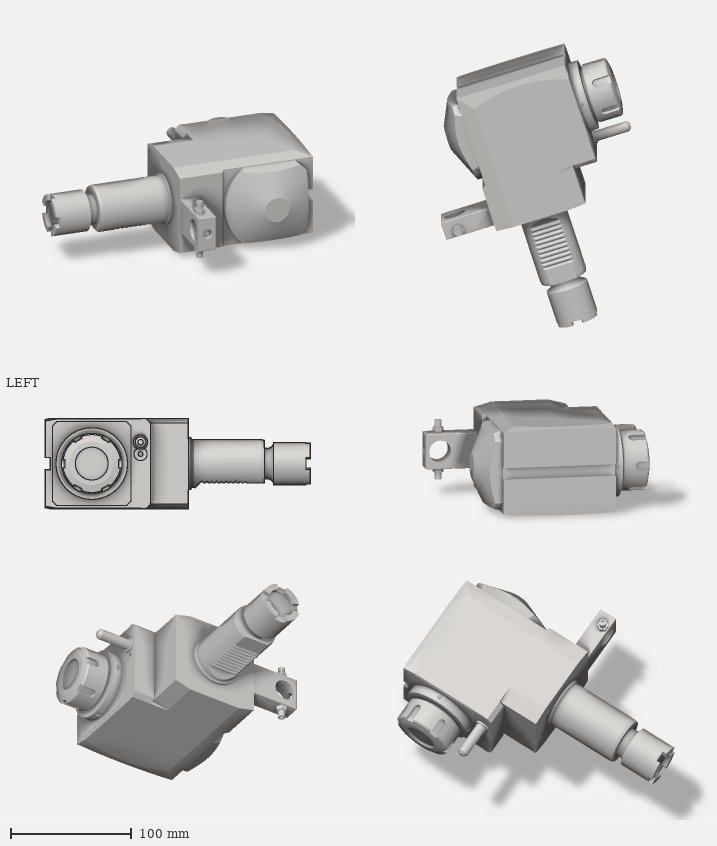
import cadquery as cq
import math


OVERALL_LENGTH = 220.0

HEIGHT = 75.0
HALF_HEIGHT = HEIGHT / 2
BACK_Y = 118.8
LEFT_X = -58.7
HEAD_RIGHT_X = 35.5
FOOT_HALF_WIDTH = 38.7
FOOT_TOP_Y = 37.6
FOOT_RAMP = 2.2
STEP_Y = 35.2
TAPER_START = 24.0
TAPER_ANGLE = 15.0
BACK_CONE_X = (LEFT_X + TAPER_START) / 2
BACK_CONE_RADIUS = 114.2
BACK_CONE_ANGLE = 11.0
BACK_CONE_REACH = 44.0
BACK_SLOT_WIDTH = 10.0
BACK_SLOT_DEPTH = 4.2
LIP_RIGHT_X = -40.0
LIP_CHAMFER = 4.0
FACE_CHAMFER = 0.7
PLUG_X = -16.0
PLUG_Z = 27.7
PLUG_RADIUS = 7.5
FACE_RELIEF = 0.2

PLATE_BOTTOM_Y = 47.7
PLATE_TOP_Y = 112.6
PLATE_HALF_HEIGHT = 34.8
PLATE_CORNER = 3.5

SPINDLE_Y = 80.0
RING_RADIUS = 29.7
RING_X = -66.7
NECK_RADIUS = 20.5
NUT_RADIUS = 25.0
NUT_RIGHT_X = -68.6
NUT_LEFT_X = -91.0
NUT_RIM_X = -89.5
NUT_RIM_RADIUS = 24.0
NUT_SHOULDER_X = -88.5
NUT_FACE_RADIUS = 18.0
NUT_BORE_RADIUS = 13.6
NUT_BORE_DEPTH = 2.2
NUT_EDGE = 0.9
NUT_SLOTS = 6
NUT_SLOT_WIDTH = 7.0
NUT_SLOT_DEPTH = 2.9
NUT_SLOT_END_X = -74.4
NUT_SIDE_SLOT_END_X = -78.0
SET_SCREWS = 4
SET_SCREW_RADIUS = 2.6
SET_SCREW_DEPTH = 0.9
SET_SCREW_SOCKET_RADIUS = 1.0

PIPE_Y = 39.5
PIPE_Z = 17.8
PIPE_RADIUS = 4.5
PIPE_LEFT_X = -90.6
PIPE_TIP = 2.2
PIPE_COLLAR_RADIUS = 6.0
PIPE_COLLAR_LENGTH = 1.8
PORT_Z = 8.0
PORT_RADIUS = 5.5
PORT_SOCKET_RADIUS = 2.0
PORT_SOCKET_DEPTH = 2.2

CAP_RADIUS = 40.5
CAP_RIM_X = 41.5
CAP_END_X = 55.5
CAP_END_RADIUS = 10.8
CAP_BACK_FLAT = 31.0
CAP_FLAT_Z = 33.7

BRACKET_RIGHT_X = 82.0
BRACKET_Y = 0.7
BRACKET_DEPTH = 15.5
BRACKET_HALF_HEIGHT = 15.0
BRACKET_EDGE = 0.5
BRACKET_HOLE_X = 70.0
BRACKET_HOLE_RADIUS = 9.2
BRACKET_END_HOLE_RADIUS = 4.5
SCREW_Y = 6.0
SCREW_RADIUS = 2.9
SCREW_INNER_Z = 8.8
SCREW_END_Z = 25.0
SCREW_SOCKET_RADIUS = 1.5
SCREW_SOCKET_DEPTH = 2.2
SCREW_NUT_HEIGHT = 4.0
SCREW_NUT_DIAMETER = 9.5

SHANK_RADIUS = 20.0
SHANK_END_Y = -63.0
SHANK_EDGE_LENGTH = 2.6
SHANK_EDGE_DEPTH = 0.7
SHANK_FLANGE_RADIUS = 21.5
SHANK_FLANGE_LENGTH = 2.0
SHANK_RELIEF_RADIUS = 19.5
FLAT_Z = -16.3
TOOTH_DEPTH = 1.5
TOOTH_PITCH = 4.0
TOOTH_GAP = 3.0
TOOTH_COUNT = 10
FLAT_RAMP_Y = -5.5
FLAT_RAMP_END_Y = -10.8
FIRST_TOOTH_Y = -11.5

COUPLING_END_Y = BACK_Y - OVERALL_LENGTH
COUPLING_RADIUS = 17.5
COUPLING_START_Y = -70.6
COUPLING_FLARE_RADIUS = 16.7
COUPLING_NECK_RADIUS = 12.8
COUPLING_NECK_END_Y = -64.7
COUPLING_BORE_RADIUS = 12.3
COUPLING_BORE_DEPTH = 4.5
COUPLING_SLOT_DEPTH = 3.5
COUPLING_SLOTS = 4
COUPLING_SLOT_WIDTH = 10.1
COUPLING_SLOT_INNER_WIDTH = 7.3

OVERLAP = 2.2


def box(x0, x1, y0, y1, z0, z1):
    """Box given by its limits along each axis."""
    return cq.Workplane("XY").box(x1 - x0, y1 - y0, z1 - z0, centered=False).translate((x0, y0, z0))


def cylinder(start, direction, radius, length):
    """Solid cylinder from a start point along a direction."""
    return cq.Workplane(cq.Solid.makeCylinder(radius, length, cq.Vector(*start), cq.Vector(*direction)))


def turned_on_spindle(profile):
    """Turn a closed (X, radius) profile about the spindle axis."""
    turned = cq.Workplane("XY").polyline(profile).close().revolve(360, (0, 0, 0), (1, 0, 0))
    return turned.translate((0, SPINDLE_Y, 0))


def taper_drop(x):
    """Height lost at distance x from the shank axis on the tapered flanks."""
    return (x - TAPER_START) * math.tan(math.radians(TAPER_ANGLE))


def tapered_block(left_x, right_x, y0, y1, taper_left):
    """Full-height block with its right flank, and optionally its left flank, tapered in Z."""
    right_z = HALF_HEIGHT - taper_drop(right_x)
    upper = [(right_x, right_z), (TAPER_START, HALF_HEIGHT)]
    if taper_left:
        upper += [(-TAPER_START, HALF_HEIGHT), (left_x, HALF_HEIGHT - taper_drop(-left_x))]
    else:
        upper += [(left_x, HALF_HEIGHT)]
    lower = [(x, -z) for x, z in reversed(upper)]
    block = cq.Workplane("XZ").polyline(upper + lower).close().extrude(y0 - y1)
    return block.translate((0, y0, 0))


def back_cone_envelope():
    """Disc about a vertical axis whose conical rims slope the housing towards its back face."""
    rim_radius = BACK_CONE_RADIUS + BACK_CONE_REACH
    rim_z = HALF_HEIGHT - (rim_radius - BACK_CONE_RADIUS) * math.tan(math.radians(BACK_CONE_ANGLE))
    profile = [
        (0, -HALF_HEIGHT),
        (BACK_CONE_RADIUS, -HALF_HEIGHT),
        (rim_radius, -rim_z),
        (rim_radius, rim_z),
        (BACK_CONE_RADIUS, HALF_HEIGHT),
        (0, HALF_HEIGHT),
    ]
    disc = cq.Workplane("XZ").polyline(profile).close().revolve(360, (0, 0, 0), (0, 1, 0))
    return disc.translate((BACK_CONE_X, 0, 0))


def housing():
    head = tapered_block(LEFT_X, HEAD_RIGHT_X, STEP_Y, BACK_Y, False).intersect(back_cone_envelope())
    head = head.faces("<X").edges("|Y").chamfer(FACE_CHAMFER)
    foot = tapered_block(-FOOT_HALF_WIDTH, FOOT_HALF_WIDTH, 0, STEP_Y, True)
    shoulder_outline = [
        (0, STEP_Y),
        (FOOT_HALF_WIDTH, STEP_Y),
        (FOOT_HALF_WIDTH, FOOT_TOP_Y),
        (HEAD_RIGHT_X, FOOT_TOP_Y + FOOT_RAMP),
        (0, FOOT_TOP_Y + FOOT_RAMP),
    ]
    shoulder = (
        cq.Workplane("XY").polyline(shoulder_outline).close().extrude(HALF_HEIGHT, both=True)
        .intersect(tapered_block(-FOOT_HALF_WIDTH, FOOT_HALF_WIDTH, 0, BACK_Y, True))
    )
    lip = box(LEFT_X, LIP_RIGHT_X, STEP_Y - LIP_CHAMFER, STEP_Y + LIP_CHAMFER, -HALF_HEIGHT, HALF_HEIGHT)
    lip = lip.faces("<Y").edges("|X").chamfer(LIP_CHAMFER)
    slot = box(LEFT_X - OVERLAP, HEAD_RIGHT_X + OVERLAP, BACK_Y - BACK_SLOT_DEPTH, BACK_Y + OVERLAP,
               -BACK_SLOT_WIDTH / 2, BACK_SLOT_WIDTH / 2)
    plug = cylinder((PLUG_X, 0, PLUG_Z), (0, 1, 0), PLUG_RADIUS, FACE_RELIEF)
    return head.union(foot).union(shoulder).union(lip).cut(slot).cut(plug)


def cover_plate():
    plate = box(LEFT_X - FACE_RELIEF, LEFT_X + OVERLAP, PLATE_BOTTOM_Y, PLATE_TOP_Y,
                -PLATE_HALF_HEIGHT, PLATE_HALF_HEIGHT)
    return plate.edges("|X").chamfer(PLATE_CORNER)


def bearing_ring():
    ring = turned_on_spindle([
        (LEFT_X + OVERLAP, 0),
        (LEFT_X + OVERLAP, RING_RADIUS),
        (RING_X, RING_RADIUS),
        (RING_X, NECK_RADIUS),
        (NUT_RIGHT_X - OVERLAP, NECK_RADIUS),
        (NUT_RIGHT_X - OVERLAP, 0),
    ])
    screw_x = (RING_X + LEFT_X) / 2
    floor_radius = RING_RADIUS - SET_SCREW_DEPTH
    for i in range(SET_SCREWS):
        angle = 2 * math.pi * i / SET_SCREWS
        outward = (0, math.cos(angle), math.sin(angle))
        for radius, depth in ((SET_SCREW_RADIUS, 0), (SET_SCREW_SOCKET_RADIUS, SET_SCREW_DEPTH)):
            start_radius = floor_radius - depth
            start = (screw_x, SPINDLE_Y + start_radius * outward[1], start_radius * outward[2])
            ring = ring.cut(cylinder(start, outward, radius, RING_RADIUS))
    return ring


def clamping_nut():
    nut = turned_on_spindle([
        (NUT_RIGHT_X, 0),
        (NUT_RIGHT_X, NUT_RADIUS - NUT_EDGE),
        (NUT_RIGHT_X - NUT_EDGE, NUT_RADIUS),
        (NUT_SHOULDER_X, NUT_RADIUS),
        (NUT_RIM_X, NUT_RIM_RADIUS),
        (NUT_LEFT_X, NUT_FACE_RADIUS),
        (NUT_LEFT_X, NUT_BORE_RADIUS),
        (NUT_LEFT_X + NUT_BORE_DEPTH, NUT_BORE_RADIUS),
        (NUT_LEFT_X + NUT_BORE_DEPTH, 0),
    ])
    for i in range(NUT_SLOTS):
        on_side = i % (NUT_SLOTS // 2) == 0
        end_x = NUT_SIDE_SLOT_END_X if on_side else NUT_SLOT_END_X
        arc_x = end_x - NUT_SLOT_WIDTH / 2
        slot = (
            cq.Workplane("XZ")
            .moveTo(NUT_LEFT_X - OVERLAP, -NUT_SLOT_WIDTH / 2)
            .lineTo(arc_x, -NUT_SLOT_WIDTH / 2)
            .threePointArc((end_x, 0), (arc_x, NUT_SLOT_WIDTH / 2))
            .lineTo(NUT_LEFT_X - OVERLAP, NUT_SLOT_WIDTH / 2)
            .close()
            .extrude(-NUT_RADIUS)
            .translate((0, NUT_RADIUS - NUT_SLOT_DEPTH, 0))
            .rotate((0, 0, 0), (1, 0, 0), 360 * i / NUT_SLOTS)
            .translate((0, SPINDLE_Y, 0))
        )
        nut = nut.cut(slot)
    return nut


def coolant_pipe():
    root_x = LEFT_X + OVERLAP
    pipe = cylinder((root_x, PIPE_Y, PIPE_Z), (-1, 0, 0), PIPE_RADIUS, root_x - PIPE_LEFT_X)
    pipe = pipe.faces("<X").chamfer(PIPE_TIP)
    collar = cylinder((root_x, PIPE_Y, PIPE_Z), (-1, 0, 0), PIPE_COLLAR_RADIUS, OVERLAP + PIPE_COLLAR_LENGTH)
    return pipe.union(collar)


def coolant_port():
    recess = cylinder((LEFT_X, PIPE_Y, PORT_Z), (1, 0, 0), PORT_RADIUS, FACE_RELIEF)
    socket = cylinder((LEFT_X, PIPE_Y, PORT_Z), (1, 0, 0), PORT_SOCKET_RADIUS, PORT_SOCKET_DEPTH)
    return recess.union(socket)


def rear_cap():
    root_x = HEAD_RIGHT_X - OVERLAP
    cap = turned_on_spindle([
        (root_x, 0),
        (root_x, CAP_RADIUS),
        (CAP_RIM_X, CAP_RADIUS),
        (CAP_END_X, CAP_END_RADIUS),
        (CAP_END_X, 0),
    ])
    slope = math.tan(math.radians(TAPER_ANGLE))
    root_z = CAP_FLAT_Z + OVERLAP * slope
    end_z = CAP_FLAT_Z - (CAP_END_X - HEAD_RIGHT_X) * slope
    flats = [(root_x, -root_z), (CAP_END_X, -end_z), (CAP_END_X, end_z), (root_x, root_z)]
    back_y = SPINDLE_Y + CAP_BACK_FLAT
    envelope = (
        cq.Workplane("XZ").polyline(flats).close().extrude(CAP_RADIUS + CAP_BACK_FLAT)
        .translate((0, back_y, 0))
    )
    return cap.intersect(envelope)


def bracket():
    back_y = BRACKET_Y + BRACKET_DEPTH
    bar = box(FOOT_HALF_WIDTH - OVERLAP, BRACKET_RIGHT_X, BRACKET_Y, back_y,
              -BRACKET_HALF_HEIGHT, BRACKET_HALF_HEIGHT)
    bar = bar.edges("|X or >X").chamfer(BRACKET_EDGE)
    cross_hole = cylinder((BRACKET_HOLE_X, BRACKET_Y, 0), (0, 1, 0), BRACKET_HOLE_RADIUS, BRACKET_DEPTH)
    end_hole = cylinder((BRACKET_HOLE_X, (BRACKET_Y + back_y) / 2, 0), (1, 0, 0), BRACKET_END_HOLE_RADIUS,
                        BRACKET_RIGHT_X - BRACKET_HOLE_X)
    bar = bar.cut(cross_hole).cut(end_hole)
    for side in (1, -1):
        screw = cylinder((BRACKET_HOLE_X, SCREW_Y, side * SCREW_INNER_Z), (0, 0, side), SCREW_RADIUS,
                         SCREW_END_Z - SCREW_INNER_Z)
        socket = cylinder((BRACKET_HOLE_X, SCREW_Y, side * SCREW_END_Z), (0, 0, -side), SCREW_SOCKET_RADIUS,
                          SCREW_SOCKET_DEPTH)
        hex_nut = (
            cq.Workplane("XY").polygon(6, SCREW_NUT_DIAMETER).extrude(side * SCREW_NUT_HEIGHT)
            .translate((BRACKET_HOLE_X, SCREW_Y, side * BRACKET_HALF_HEIGHT))
        )
        bar = bar.union(screw.cut(socket)).union(hex_nut)
    return bar


def shank():
    fillet_radius = SHANK_FLANGE_RADIUS - SHANK_RELIEF_RADIUS
    fillet_end_y = -SHANK_FLANGE_LENGTH - fillet_radius
    fillet_middle = (
        SHANK_FLANGE_RADIUS - fillet_radius * math.sqrt(0.5),
        fillet_end_y + fillet_radius * math.sqrt(0.5),
    )
    shaft = (
        cq.Workplane("XY")
        .moveTo(0, OVERLAP)
        .lineTo(SHANK_FLANGE_RADIUS, OVERLAP)
        .lineTo(SHANK_FLANGE_RADIUS, -SHANK_FLANGE_LENGTH)
        .threePointArc(fillet_middle, (SHANK_RELIEF_RADIUS, fillet_end_y))
        .lineTo(SHANK_RADIUS, fillet_end_y)
        .lineTo(SHANK_RADIUS, SHANK_END_Y + SHANK_EDGE_LENGTH)
        .lineTo(SHANK_RADIUS - SHANK_EDGE_DEPTH, SHANK_END_Y)
        .lineTo(0, SHANK_END_Y)
        .close()
        .revolve(360, (0, 0, 0), (0, 1, 0))
    )
    root_z = FLAT_Z + TOOTH_DEPTH
    ramp_outline = [
        (FLAT_RAMP_Y, -SHANK_RADIUS),
        (FLAT_RAMP_END_Y, root_z),
        (FIRST_TOOTH_Y, root_z),
        (FIRST_TOOTH_Y - TOOTH_GAP / 2, FLAT_Z),
        (SHANK_END_Y, FLAT_Z),
        (SHANK_END_Y, -SHANK_RADIUS),
    ]
    shaft = shaft.cut(cq.Workplane("YZ").polyline(ramp_outline).close().extrude(SHANK_RADIUS, both=True))
    for i in range(1, TOOTH_COUNT):
        gap_y = FIRST_TOOTH_Y - i * TOOTH_PITCH
        gap_outline = [(gap_y - TOOTH_GAP / 2, FLAT_Z), (gap_y, root_z), (gap_y + TOOTH_GAP / 2, FLAT_Z)]
        shaft = shaft.cut(cq.Workplane("YZ").polyline(gap_outline).close().extrude(SHANK_RADIUS, both=True))
    return shaft


def coupling_slot(index):
    """Radial slot in the coupling face, widening outwards."""
    slot_outline = [
        (COUPLING_BORE_RADIUS - OVERLAP, -COUPLING_SLOT_INNER_WIDTH / 2),
        (COUPLING_BORE_RADIUS, -COUPLING_SLOT_INNER_WIDTH / 2),
        (COUPLING_RADIUS, -COUPLING_SLOT_WIDTH / 2),
        (COUPLING_RADIUS + OVERLAP, -COUPLING_SLOT_WIDTH / 2),
    ]
    slot_outline += [(x, -z) for x, z in reversed(slot_outline)]
    return (
        cq.Workplane("XZ").polyline(slot_outline).close().extrude(-COUPLING_SLOT_DEPTH)
        .translate((0, COUPLING_END_Y, 0))
        .rotate((0, 0, 0), (0, 1, 0), 360 * index / COUPLING_SLOTS)
    )


def drive_coupling():
    flare_height = COUPLING_NECK_END_Y - COUPLING_START_Y
    flare_width = COUPLING_FLARE_RADIUS - COUPLING_NECK_RADIUS
    diagonal = math.sqrt(0.5)
    flare_middle = (
        COUPLING_FLARE_RADIUS - flare_width * diagonal,
        COUPLING_NECK_END_Y - flare_height * diagonal,
    )
    coupling = (
        cq.Workplane("XY")
        .moveTo(0, SHANK_END_Y + OVERLAP)
        .lineTo(COUPLING_NECK_RADIUS, SHANK_END_Y + OVERLAP)
        .lineTo(COUPLING_NECK_RADIUS, COUPLING_NECK_END_Y)
        .threePointArc(flare_middle, (COUPLING_FLARE_RADIUS, COUPLING_START_Y))
        .lineTo(COUPLING_RADIUS, COUPLING_START_Y)
        .lineTo(COUPLING_RADIUS, COUPLING_END_Y)
        .lineTo(0, COUPLING_END_Y)
        .close()
        .revolve(360, (0, 0, 0), (0, 1, 0))
    )
    bore = cylinder((0, COUPLING_END_Y, 0), (0, 1, 0), COUPLING_BORE_RADIUS, COUPLING_BORE_DEPTH)
    coupling = coupling.cut(bore)
    for i in range(COUPLING_SLOTS):
        coupling = coupling.cut(coupling_slot(i))
    return coupling


result = housing()
for component in (cover_plate(), bearing_ring(), clamping_nut(), coolant_pipe(), rear_cap(), bracket(),
                  shank(), drive_coupling()):
    result = result.union(component)
result = result.cut(coolant_port())